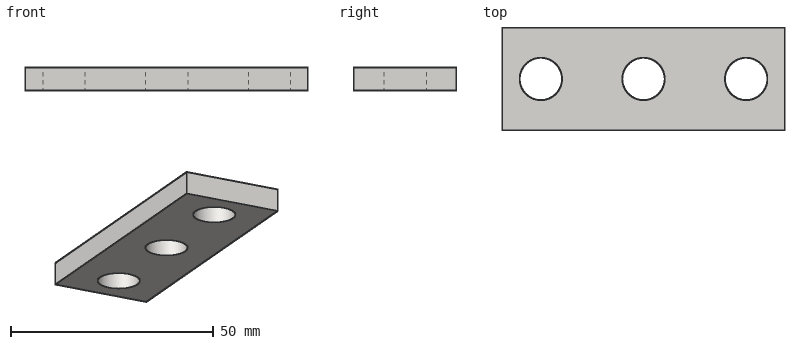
import cadquery as cq

length = 69.85
width = 25.4
thickness = 5.7

hole_diameter = 10.4
hole_count = 3
hole_pitch = 25.35

plate = cq.Workplane("XY").box(length, width, thickness)

result = (
    plate.faces(">Z")
    .workplane()
    .rarray(hole_pitch, 0.7, hole_count, 1)
    .hole(hole_diameter)
)